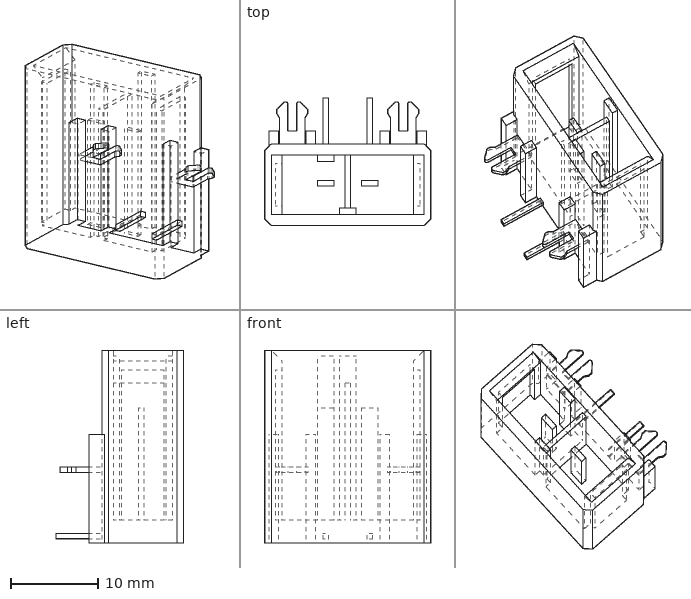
import cadquery as cq

width = 19.07
depth = 9.37
height = 22.1
corner_bevel = 0.77
back_y = depth / 2

end_wall = 0.77
side_wall = 1.3
floor_z = 2.65
lead_in = 1.24
mouth_length = width - 2 * end_wall
cavity_length = mouth_length - 2 * lead_in
cavity_depth = depth - 2 * side_wall
cavity_y = cavity_depth / 2

recess_depth = 0.75
recess_side_margin = 0.93
recess_drop = 1.0
recess_width = cavity_depth - 2 * recess_side_margin
recess_top_z = height - lead_in - recess_drop

divider_thickness = 0.62
divider_top_z = 18.35
key_width = 1.85
key_thickness = 0.7
key_drop = 0.66
key_top_z = height - key_drop

pin_x = 2.52
pin_y = 0.18
pin_thickness = 0.65
blade_width = 1.85
blade_top_z = 15.47
tail_width = 0.65
tail_bottom_z = 0.49
tail_reach = 5.28

clip_x = 6.36
clip_thickness = 0.65
clip_bottom_z = 8.09
stem_half = 1.48
clip_gap = 0.09
rib_outer_half = 2.67
rib_reach = 1.48
rib_height = 12.46
root_overlap = 0.66

slot_half = 0.5
barb_half = 1.8
neck_reach = 2.98
barb_start_reach = 3.5
barb_end_reach = 3.93
tip_reach = 4.82
tip_half = barb_half - (tip_reach - barb_end_reach)
tip_round = 0.25


def block(x_range, y_range, z_range):
    """Axis-aligned box between the given limits."""
    (x0, x1), (y0, y1), (z0, z1) = x_range, y_range, z_range
    return cq.Workplane("XY").box(x1 - x0, y1 - y0, z1 - z0, centered=False).translate((x0, y0, z0))


def around(center, size):
    """Limits of a span of the given size centred on a position."""
    return center - size / 2, center + size / 2


def make_housing():
    shell = cq.Workplane("XY").rect(width, depth).extrude(height).edges("|Z").chamfer(corner_bevel)
    cavity = (
        cq.Workplane("XZ")
        .moveTo(-cavity_length / 2, floor_z)
        .lineTo(cavity_length / 2, floor_z)
        .lineTo(cavity_length / 2, height - lead_in)
        .lineTo(mouth_length / 2, height)
        .lineTo(-mouth_length / 2, height)
        .lineTo(-cavity_length / 2, height - lead_in)
        .close()
        .extrude(cavity_y, both=True)
    )
    recesses = block(
        around(0, cavity_length + 2 * recess_depth),
        around(0, recess_width),
        (floor_z, recess_top_z),
    )
    return shell.cut(cavity).cut(recesses)


def make_divider():
    return block(around(0, divider_thickness), around(0, cavity_depth), (floor_z, divider_top_z))


def make_keys():
    """One rib on the back wall in line with the left pin, one on the front wall at the middle."""
    back_key = block(
        around(-pin_x, key_width),
        (cavity_y - key_thickness, cavity_y),
        (floor_z, key_top_z),
    )
    front_key = block(
        around(0, key_width),
        (-cavity_y, -cavity_y + key_thickness),
        (floor_z, key_top_z),
    )
    return back_key.union(front_key)


def make_pin(x):
    blade = block(around(x, blade_width), around(pin_y, pin_thickness), (tail_bottom_z, blade_top_z))
    tail = block(
        around(x, tail_width),
        (pin_y, back_y + tail_reach),
        (tail_bottom_z, tail_bottom_z + pin_thickness),
    )
    return blade.union(tail)


def make_clip_mount(x):
    """Two upright ribs and the two-pronged clip between them."""
    root_y = back_y - root_overlap
    inner_half = stem_half + clip_gap
    rib_y = (root_y, back_y + rib_reach)
    left_rib = block((x - rib_outer_half, x - inner_half), rib_y, (0, rib_height))
    right_rib = block((x + inner_half, x + rib_outer_half), rib_y, (0, rib_height))
    outline = [
        (stem_half, -root_overlap),
        (stem_half, neck_reach),
        (barb_half, barb_start_reach),
        (barb_half, barb_end_reach),
        (tip_half, tip_reach),
        (slot_half, tip_reach),
        (slot_half, rib_reach),
    ]
    mirrored = [(-px, py) for px, py in reversed(outline)]
    clip = (
        cq.Workplane("XY")
        .polyline(outline + mirrored)
        .close()
        .extrude(clip_thickness)
        .faces(">Y")
        .edges("|Z")
        .fillet(tip_round)
        .translate((x, back_y, clip_bottom_z))
    )
    return left_rib.union(right_rib).union(clip)


result = make_housing().union(make_divider()).union(make_keys())
for side in (-1, 1):
    result = result.union(make_pin(side * pin_x))
    result = result.union(make_clip_mount(side * clip_x))